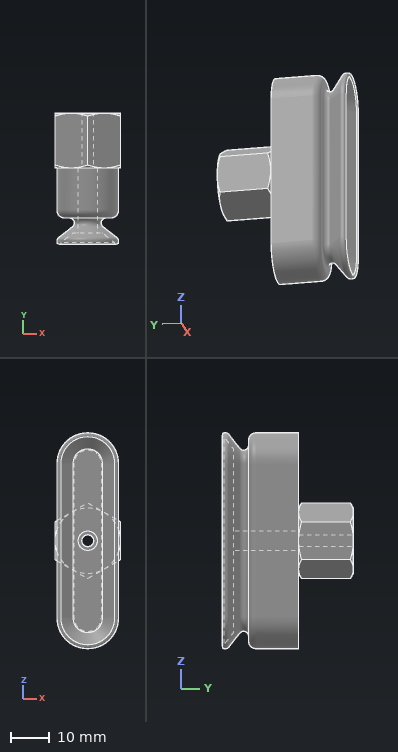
import math

import cadquery as cq


WIDTH = 16.0
LENGTH = 56.0
END_CENTRE_Z = (LENGTH - WIDTH) / 2
HALF_WIDTH = WIDTH / 2

HEX_ACROSS_FLATS = 17.0
HEX_LENGTH = 14.2
HEX_CHAMFER_ANGLE = 30.0

BODY_DEPTH = 13.0
BODY_FILLET = 2.0

OVERALL_DEPTH = 34.0
FACE_DEPTH = OVERALL_DEPTH - HEX_LENGTH
FLARE_ANGLE = 52.0
NECK_HALF_WIDTH = 3.5
NECK_RADIUS = 1.25
NECK_CENTRE_DEPTH = BODY_DEPTH + NECK_RADIUS
RIM_RADIUS = 1.0
LIP_FILLET = 0.45
LIP_TILT_ANGLE = 12.0

CAVITY_FLOOR_HALF_WIDTH = 3.8
MOUTH_HALF_WIDTH = 6.96
MOUTH_FILLET = 0.22
MOUTH_STRAIGHT_DEPTH = 0.25
CREST_HALF_WIDTH = MOUTH_HALF_WIDTH + MOUTH_FILLET

PORT_DIAMETER = 5.0
PASSAGE_DIAMETER = 3.0

FLARE = math.radians(FLARE_ANGLE)
LIP_TILT = math.radians(LIP_TILT_ANGLE)


def arc_point(centre_x, centre_y, radius, angle):
    """Point on a circle, with the angle in radians from +X towards +Y."""
    return (centre_x + radius * math.cos(angle), centre_y + radius * math.sin(angle))


def oblong_solid(profile):
    """Carry a half section (X >= 0, touching the Y axis) around the oblong footprint."""
    straight_half = profile().extrude(END_CENTRE_Z, both=True)
    straight = straight_half.union(straight_half.mirror("YZ"))
    upper_end = profile().revolve(180, (0, 0), (0, -1)).translate((0, 0, END_CENTRE_Z))
    lower_end = upper_end.mirror("XY")
    return straight.union(upper_end).union(lower_end)


def outer_profile():
    """Half section of the body, the neck groove and the flared cup, without its cavity."""
    fillet_centre_x = HALF_WIDTH - BODY_FILLET
    fillet_centre_y = -(BODY_DEPTH - BODY_FILLET)
    fillet_middle = arc_point(fillet_centre_x, fillet_centre_y, BODY_FILLET, -math.pi / 4)

    neck_centre_x = NECK_HALF_WIDTH + NECK_RADIUS
    neck_middle = (NECK_HALF_WIDTH, -NECK_CENTRE_DEPTH)
    neck_end = arc_point(neck_centre_x, -NECK_CENTRE_DEPTH, NECK_RADIUS, math.pi + FLARE)

    rim_centre_x = HALF_WIDTH - RIM_RADIUS
    rim_start_x = rim_centre_x + RIM_RADIUS * math.cos(FLARE)
    rim_start_y = neck_end[1] - (rim_start_x - neck_end[0]) / math.tan(FLARE)
    rim_centre_y = rim_start_y - RIM_RADIUS * math.sin(FLARE)
    rim_middle = arc_point(rim_centre_x, rim_centre_y, RIM_RADIUS, FLARE / 2)

    lip_centre_x = HALF_WIDTH - LIP_FILLET
    lip_end_angle = -math.pi / 2 + LIP_TILT
    lip_end_x = lip_centre_x + LIP_FILLET * math.cos(lip_end_angle)
    lip_end_y = -FACE_DEPTH + (lip_end_x - CREST_HALF_WIDTH) * math.tan(LIP_TILT)
    lip_centre_y = lip_end_y - LIP_FILLET * math.sin(lip_end_angle)
    lip_middle = arc_point(lip_centre_x, lip_centre_y, LIP_FILLET, lip_end_angle / 2)

    return (
        cq.Workplane("XY")
        .lineTo(HALF_WIDTH, 0)
        .lineTo(HALF_WIDTH, fillet_centre_y)
        .threePointArc(fillet_middle, (fillet_centre_x, -BODY_DEPTH))
        .lineTo(neck_centre_x, -BODY_DEPTH)
        .threePointArc(neck_middle, neck_end)
        .lineTo(rim_start_x, rim_start_y)
        .threePointArc(rim_middle, (HALF_WIDTH, rim_centre_y))
        .lineTo(HALF_WIDTH, lip_centre_y)
        .threePointArc(lip_middle, (lip_end_x, lip_end_y))
        .lineTo(CREST_HALF_WIDTH, -FACE_DEPTH)
        .lineTo(0, -FACE_DEPTH)
        .close()
    )


def cavity_profile():
    """Half section of the cup cavity, from its flat floor out to the lip crest."""
    fillet_end_y = -(FACE_DEPTH - MOUTH_FILLET)
    fillet_middle = arc_point(CREST_HALF_WIDTH, fillet_end_y, MOUTH_FILLET, -3 * math.pi / 4)
    wall_end_y = fillet_end_y + MOUTH_STRAIGHT_DEPTH
    floor_y = wall_end_y + (MOUTH_HALF_WIDTH - CAVITY_FLOOR_HALF_WIDTH) / math.tan(FLARE)

    return (
        cq.Workplane("XY")
        .moveTo(0, floor_y)
        .lineTo(CAVITY_FLOOR_HALF_WIDTH, floor_y)
        .lineTo(MOUTH_HALF_WIDTH, wall_end_y)
        .lineTo(MOUTH_HALF_WIDTH, fillet_end_y)
        .threePointArc(fillet_middle, (CREST_HALF_WIDTH, -FACE_DEPTH))
        .lineTo(0, -FACE_DEPTH)
        .close()
    )


def hex_fitting():
    """Hexagon with flats facing +X and -X and both ends chamfered down to the flats' circle."""
    corner_radius = HEX_ACROSS_FLATS / math.sqrt(3)
    flat_radius = HEX_ACROSS_FLATS / 2
    chamfer_length = (corner_radius - flat_radius) * math.tan(math.radians(HEX_CHAMFER_ANGLE))
    prism = (
        cq.Workplane("XZ")
        .transformed(rotate=(0, 0, 90))
        .polygon(6, 2 * corner_radius)
        .extrude(-HEX_LENGTH)
    )
    chamfer_envelope = (
        cq.Workplane("XY")
        .lineTo(flat_radius, 0)
        .lineTo(corner_radius, chamfer_length)
        .lineTo(corner_radius, HEX_LENGTH - chamfer_length)
        .lineTo(flat_radius, HEX_LENGTH)
        .lineTo(0, HEX_LENGTH)
        .close()
        .revolve(360, (0, 0), (0, 1))
    )
    return prism.intersect(chamfer_envelope)


def suction_passage():
    """Wide port through cup and body, continuing as a narrow hole through the hex."""
    port = cq.Workplane("XZ").circle(PORT_DIAMETER / 2).extrude(FACE_DEPTH)
    narrow_hole = cq.Workplane("XZ").circle(PASSAGE_DIAMETER / 2).extrude(-HEX_LENGTH)
    return port.union(narrow_hole)


body_and_cup = oblong_solid(outer_profile).cut(oblong_solid(cavity_profile))
result = body_and_cup.union(hex_fitting()).cut(suction_passage())